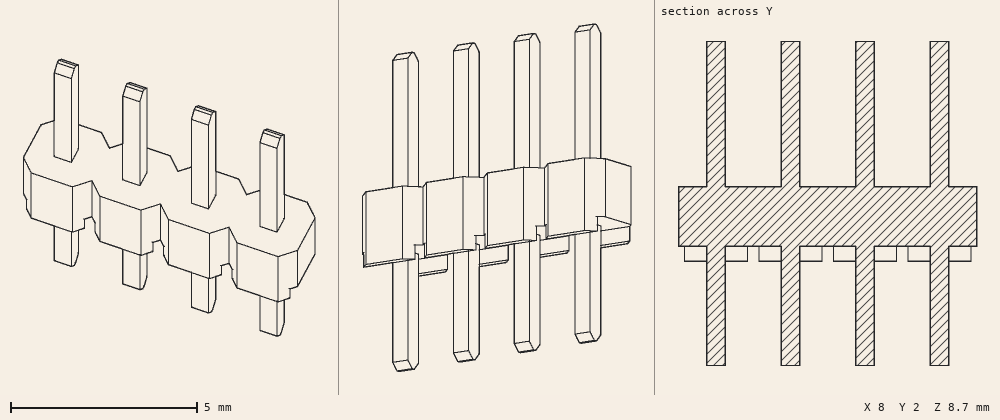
import cadquery as cq


pin_count = 4
pitch = 2.0

housing_depth = 2.0
housing_height = 2.0
corner_chamfer = 0.4
channel_width = 1.5
channel_height = 0.4

pin_width = 0.5
pin_above_housing = 3.9
pin_below_housing = 2.8
tip_chamfer = 0.2

housing_length = pin_count * pitch
pin_length = pin_above_housing + housing_height + pin_below_housing
pin_positions = [(i - (pin_count - 1) / 2) * pitch for i in range(pin_count)]


def make_cell(x):
    """Octagonal housing block around one pin."""
    return (
        cq.Workplane("XY")
        .box(pitch, housing_depth, housing_height, centered=(True, True, False))
        .edges("|Z")
        .chamfer(corner_chamfer)
        .translate((x, 0, 0))
    )


def make_channel():
    """Shallow channel along the underside, leaving standoff feet on both long sides."""
    return cq.Workplane("XY").box(
        housing_length, channel_width, channel_height, centered=(True, True, False)
    )


def make_pin(x):
    """Square pin with both ends bevelled on the front and back faces."""
    return (
        cq.Workplane("XY")
        .box(pin_width, pin_width, pin_length, centered=(True, True, False))
        .edges("|X")
        .chamfer(tip_chamfer)
        .translate((x, 0, -pin_below_housing))
    )


housing = make_cell(pin_positions[0])
for position in pin_positions[1:]:
    housing = housing.union(make_cell(position))
housing = housing.cut(make_channel())

result = housing
for position in pin_positions:
    result = result.union(make_pin(position))
result = result.clean()